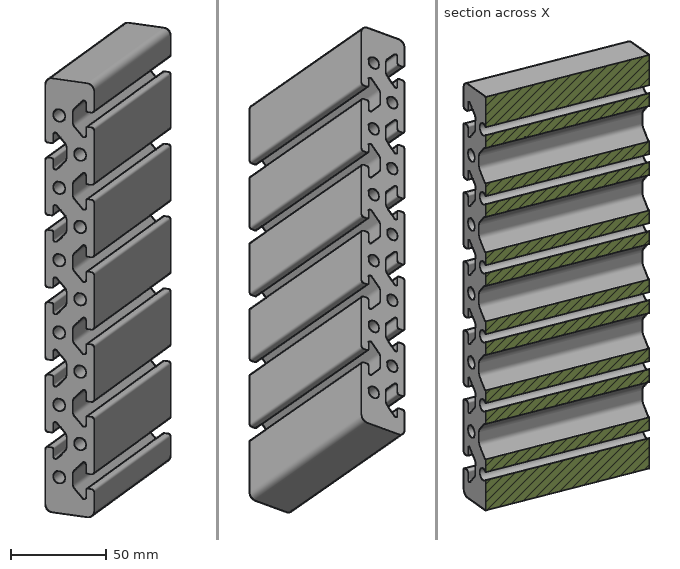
import cadquery as cq

WIDTH = 28.0
LENGTH = 100.0
HEIGHT = 240.0
CORNER_RADIUS = 4.0

SLOT_PITCH = 40.0
RIGHT_SLOT_COUNT = 6
LEFT_SLOT_COUNT = RIGHT_SLOT_COUNT - 1

SLOT_OPENING = 8.2
SLOT_INNER_WIDTH = 20.4
SLOT_FLOOR_WIDTH = 8.0
SLOT_DEPTH = 12.25
SLOT_WALL_LENGTH = 1.65
LIP_THICKNESS = 4.65

LIP_OUTER_RADIUS = 1.5
LIP_INNER_RADIUS = 1.0
LIP_ROOT_RADIUS = 1.2
FLANK_RADIUS = 1.0
FLOOR_RADIUS = 3.5

BORE_DIAMETER = 6.8
BORE_OFFSET = 6.0


def along_length(outline):
    """Extrude a closed XZ outline symmetrically along Y."""
    return outline.extrude(LENGTH / 2, both=True)


def row_heights(count):
    """Z positions of a row of slots centred on Z = 0."""
    return [(i - (count - 1) / 2) * SLOT_PITCH for i in range(count)]


def make_body():
    body = along_length(cq.Workplane("XZ").rect(WIDTH, HEIGHT))
    return body.edges("|Y").fillet(CORNER_RADIUS)


def fillet_mirrored_edges(solid, corner, radius):
    """Round the two lengthwise edges at (x, z) and (x, -z)."""
    x, z = corner
    for side in (1, -1):
        edge = cq.selectors.NearestToPointSelector((x, 0, side * z))
        solid = solid.edges("|Y").edges(edge).fillet(radius)
    return solid


def make_slot():
    """T-slot cutter opening on the +X face, centred on Z = 0."""
    face_x = WIDTH / 2
    lip_x = face_x - LIP_THICKNESS
    wall_x = lip_x - SLOT_WALL_LENGTH
    floor_x = face_x - SLOT_DEPTH
    half_opening = SLOT_OPENING / 2
    half_inner = SLOT_INNER_WIDTH / 2
    half_mouth = half_opening + LIP_OUTER_RADIUS
    throat_x = face_x - LIP_OUTER_RADIUS

    lip_corner = (lip_x, half_opening)
    root_corner = (lip_x, half_inner)
    flank_corner = (wall_x, half_inner)
    floor_corner = (floor_x, SLOT_FLOOR_WIDTH / 2)

    upper = [(throat_x, half_opening), lip_corner, root_corner, flank_corner, floor_corner]
    lower = [(x, -z) for x, z in reversed(upper)]
    outline = (
        cq.Workplane("XZ")
        .moveTo(face_x, half_mouth)
        .radiusArc(upper[0], LIP_OUTER_RADIUS)
        .polyline(upper[1:] + lower, includeCurrent=True)
        .radiusArc((face_x, -half_mouth), LIP_OUTER_RADIUS)
        .close()
    )

    slot = along_length(outline)
    slot = fillet_mirrored_edges(slot, lip_corner, LIP_INNER_RADIUS)
    slot = fillet_mirrored_edges(slot, root_corner, LIP_ROOT_RADIUS)
    slot = fillet_mirrored_edges(slot, flank_corner, FLANK_RADIUS)
    return fillet_mirrored_edges(slot, floor_corner, FLOOR_RADIUS)


def make_bores(x, heights):
    centres = [(x, z) for z in heights]
    return along_length(cq.Workplane("XZ").pushPoints(centres).circle(BORE_DIAMETER / 2))


right_heights = row_heights(RIGHT_SLOT_COUNT)
left_heights = row_heights(LEFT_SLOT_COUNT)
right_slot = make_slot()
left_slot = right_slot.mirror("YZ")

result = make_body()
for height in right_heights:
    result = result.cut(right_slot.translate((0, 0, height)))
for height in left_heights:
    result = result.cut(left_slot.translate((0, 0, height)))

result = result.cut(make_bores(-BORE_OFFSET, right_heights))
result = result.cut(make_bores(BORE_OFFSET, left_heights))